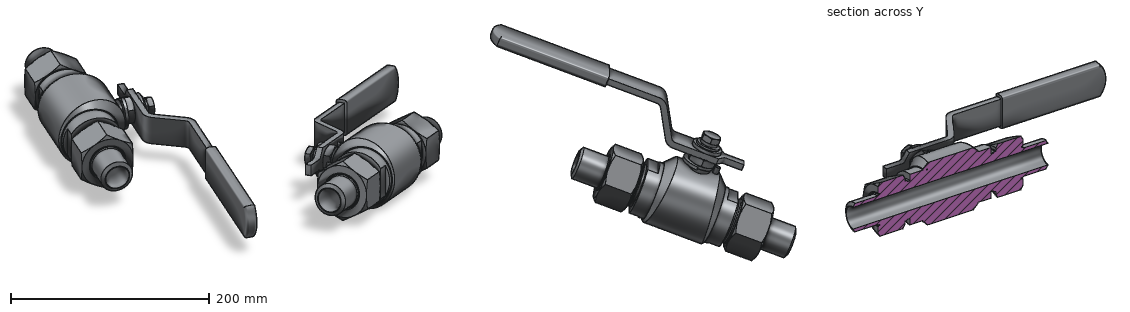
import cadquery as cq
import math

OVERALL_LENGTH = 365.0
OVERALL_DEPTH = 137.0
VALVE_LENGTH = 234.5
BORE_DIA = 25.0
END_X = VALVE_LENGTH / 2
HEX_CORNER_RATIO = 2 / math.sqrt(3)
CHAMFER_SLOPE = math.tan(math.radians(30))

BODY_DIA = 74.0
BODY_OFFSET = 4.5
BODY_HALF_LENGTH = 33.2
CONE_START_RADIUS = 31.0

COLLAR_DIA = 60.0
COLLAR_FACE_X = 49.0
FLAT_LENGTH = 11.5
FLAT_HALF_WIDTH = 25.2
NECK_DIA = 45.0
THREAD_DIA = 48.0
THREAD_END_X = 51.5

NUT_FLATS = 54.8
NUT_INNER_X = 54.5
NUT_OUTER_X = 87.3
NUT_HOLE_DIA = 37.0
NUT_HOLE_DEPTH = 2.2
NUT_HOLE_MOUTH_DIA = 39.0
TAIL_DIA = 34.0
TAIL_TIP_DIA = 26.3
TAIL_SHOULDER_DIA = 36.0
TAIL_SHOULDER_X = 88.0

STEM_ROOT_Y = 29.2
STEM_BASE_DIA = 25.0
STOP_BOTTOM_Y = 43.8
STOP_TOP_Y = 47.0
STOP_HUB_DIA = 27.0
STOP_SECTOR_DIA = 37.0
STOP_SECTOR_X = 3.0
STOP_PIN_DIA = 6.0
STOP_PIN_X = -18.0
STOP_PIN_TOP_Y = 48.5
STEM_NUT_FLATS = 26.5
HANDLE_BOTTOM_Y = 56.0
HANDLE_THICKNESS = 6.5
HANDLE_TOP_Y = HANDLE_BOTTOM_Y + HANDLE_THICKNESS
WASHER_DIA = 31.0
WASHER_TOP_Y = 66.0
SPRING_WASHER_DIA = 25.0
SPRING_WASHER_TOP_Y = 68.3
BOLT_FLATS = 18.0
BOLT_HEX_Y = 71.5
BOLT_TOP_Y = 78.0

HANDLE_WIDTH = 31.5
CRANK_ANGLE = math.radians(60)
CRANK_INNER_X = 37.2
GRIP_TOP_Y = OVERALL_DEPTH + BODY_OFFSET - BODY_DIA / 2
GRIP_THICKNESS = 12.0
GRIP_MID_Y = GRIP_TOP_Y - GRIP_THICKNESS / 2
BEND_INNER_RADIUS = 6.2
TAB_TIP_X = -41.0
TAB_WIDTH = 11.5
TAB_ROOT_X = -19.7
TAB_ROOT_RADIUS = 3.5
SHOULDER_X = -13.0

GRIP_START_X = 122.3
GRIP_TIP_X = OVERALL_LENGTH - END_X
GRIP_WIDTH = 38.0
GRIP_CROWN = 7.5
GRIP_ROUND = 3.3


def x_cylinder(diameter, x_start, x_end):
    return cq.Workplane("YZ").workplane(offset=x_start).circle(diameter / 2).extrude(x_end - x_start)


def y_plane(y):
    """Sketch plane facing -Y, with local x along X and local y along Z; negative extrusions rise."""
    return cq.Workplane("XZ", origin=(0, y, 0))


def y_cylinder(diameter, y_bottom, y_top):
    return y_plane(y_bottom).circle(diameter / 2).extrude(y_bottom - y_top)


def revolve_x(points):
    """Turn an (x, radius) outline about the X axis."""
    return cq.Workplane("XY").polyline(points).close().revolve(360, (0, 0), (1, 0))


def chamfered_blank(flats, start, end):
    """(axial, radius) outline that trims the corners of a hexagon at both ends."""
    corner = flats / 2 * HEX_CORNER_RATIO
    drop = (corner - flats / 2) * CHAMFER_SLOPE
    return [(start, 0), (start, flats / 2), (start + drop, corner),
            (end - drop, corner), (end, flats / 2), (end, 0)]


def make_body():
    crest_radius = BODY_DIA / 2 + BODY_OFFSET
    crest_x = BODY_HALF_LENGTH - (crest_radius - CONE_START_RADIUS)
    trim = revolve_x([
        (-BODY_HALF_LENGTH, 0), (-BODY_HALF_LENGTH, CONE_START_RADIUS), (-crest_x, crest_radius),
        (crest_x, crest_radius), (BODY_HALF_LENGTH, CONE_START_RADIUS), (BODY_HALF_LENGTH, 0)])
    drum = x_cylinder(BODY_DIA, -BODY_HALF_LENGTH, BODY_HALF_LENGTH).translate((0, BODY_OFFSET, 0))
    return drum.intersect(trim)


def make_collar():
    collar = x_cylinder(COLLAR_DIA, 0, COLLAR_FACE_X)
    flat_mid_x = COLLAR_FACE_X - FLAT_LENGTH / 2
    flat_depth = COLLAR_DIA / 2 - FLAT_HALF_WIDTH
    for side in (-1, 1):
        flat = cq.Workplane("XY").box(FLAT_LENGTH, flat_depth, COLLAR_DIA)
        collar = collar.cut(flat.translate((flat_mid_x, side * (FLAT_HALF_WIDTH + flat_depth / 2), 0)))
    return collar


def make_union_nut():
    length = NUT_OUTER_X - NUT_INNER_X
    hexagon = (cq.Workplane("YZ").workplane(offset=NUT_INNER_X)
               .polygon(6, NUT_FLATS * HEX_CORNER_RATIO).extrude(length)
               .rotate((0, 0, 0), (1, 0, 0), 30))
    nut = hexagon.intersect(revolve_x(chamfered_blank(NUT_FLATS, NUT_INNER_X, NUT_OUTER_X)))
    mouth_depth = (NUT_HOLE_MOUTH_DIA - NUT_HOLE_DIA) / 2
    floor_x = NUT_OUTER_X - NUT_HOLE_DEPTH
    hole = revolve_x([
        (floor_x, 0), (floor_x, NUT_HOLE_DIA / 2), (NUT_OUTER_X - mouth_depth, NUT_HOLE_DIA / 2),
        (NUT_OUTER_X, NUT_HOLE_MOUTH_DIA / 2), (NUT_OUTER_X, 0)])
    return nut.cut(hole)


def make_thread_and_tail():
    shoulder_base_x = TAIL_SHOULDER_X - (TAIL_SHOULDER_DIA - TAIL_DIA) / 2
    runout = (THREAD_DIA - NECK_DIA) / 2
    bevel_x = END_X - (TAIL_DIA - TAIL_TIP_DIA) / 2 * CHAMFER_SLOPE
    return revolve_x([
        (0, 0), (0, NECK_DIA / 2), (THREAD_END_X, NECK_DIA / 2),
        (THREAD_END_X + runout, THREAD_DIA / 2), (NUT_INNER_X, THREAD_DIA / 2),
        (NUT_INNER_X, TAIL_SHOULDER_DIA / 2), (shoulder_base_x, TAIL_SHOULDER_DIA / 2),
        (TAIL_SHOULDER_X, TAIL_DIA / 2), (bevel_x, TAIL_DIA / 2), (END_X, TAIL_TIP_DIA / 2), (END_X, 0)])


def make_end():
    """Everything on the +X side of the body."""
    return make_collar().union(make_thread_and_tail()).union(make_union_nut())


def y_hexagon(flats, y_bottom, y_top):
    """Hexagon along Y with corners on +Z and -Z and trimmed at both ends."""
    prism = (y_plane(y_bottom).polygon(6, flats * HEX_CORNER_RATIO).extrude(y_bottom - y_top)
             .rotate((0, 0, 0), (0, 1, 0), 30))
    outline = [(radius, y) for y, radius in chamfered_blank(flats, y_bottom, y_top)]
    trim = cq.Workplane("XY").polyline(outline).close().revolve(360, (0, 0), (0, 1))
    return prism.intersect(trim)


def make_stop_washer():
    sector = y_cylinder(STOP_SECTOR_DIA, STOP_BOTTOM_Y, STOP_TOP_Y)
    keep = cq.Workplane("XY").box(STOP_SECTOR_DIA, BOLT_TOP_Y, STOP_SECTOR_DIA)
    keep = keep.translate((STOP_SECTOR_X + STOP_SECTOR_DIA / 2, STOP_BOTTOM_Y, 0))
    return sector.intersect(keep).union(y_cylinder(STOP_HUB_DIA, STOP_BOTTOM_Y, STOP_TOP_Y))


def make_stem():
    stem = y_cylinder(STEM_BASE_DIA, STEM_ROOT_Y, STOP_BOTTOM_Y)
    stem = stem.union(make_stop_washer())
    stem = stem.union(y_hexagon(STEM_NUT_FLATS, STOP_TOP_Y, HANDLE_BOTTOM_Y))
    stem = stem.union(y_cylinder(WASHER_DIA, HANDLE_TOP_Y, WASHER_TOP_Y))
    stem = stem.union(y_cylinder(SPRING_WASHER_DIA, WASHER_TOP_Y, SPRING_WASHER_TOP_Y))
    stem = stem.union(y_cylinder(BOLT_FLATS, SPRING_WASHER_TOP_Y, BOLT_HEX_Y))
    return stem.union(y_hexagon(BOLT_FLATS, BOLT_HEX_Y, BOLT_TOP_Y))


def make_stop_pin():
    return y_cylinder(STOP_PIN_DIA, STEM_ROOT_Y, STOP_PIN_TOP_Y).translate((STOP_PIN_X, 0, 0))


def make_strip():
    """Cranked strip, all of one thickness."""
    upper_bottom_y = GRIP_MID_Y - HANDLE_THICKNESS / 2
    upper_top_y = upper_bottom_y + HANDLE_THICKNESS
    crank_run = (upper_top_y - HANDLE_TOP_Y) / math.tan(CRANK_ANGLE)
    miter = HANDLE_THICKNESS * math.tan(CRANK_ANGLE / 2)
    low_inner = (CRANK_INNER_X, HANDLE_TOP_Y)
    low_outer = (CRANK_INNER_X + miter, HANDLE_BOTTOM_Y)
    high_outer = (CRANK_INNER_X + crank_run, upper_top_y)
    high_inner = (CRANK_INNER_X + crank_run + miter, upper_bottom_y)
    strip_end_x = GRIP_TIP_X - GRIP_CROWN - GRIP_ROUND
    strip = (cq.Workplane("XY").workplane(offset=-HANDLE_WIDTH / 2)
             .polyline([(TAB_TIP_X, HANDLE_BOTTOM_Y), low_outer, high_inner,
                        (strip_end_x, upper_bottom_y), (strip_end_x, upper_top_y),
                        high_outer, low_inner, (TAB_TIP_X, HANDLE_TOP_Y)])
             .close().extrude(HANDLE_WIDTH))
    bends = ((BEND_INNER_RADIUS, (low_inner, high_inner)),
             (BEND_INNER_RADIUS + HANDLE_THICKNESS, (low_outer, high_outer)))
    for radius, corners in bends:
        for x, y in corners:
            strip = strip.edges(cq.selectors.NearestToPointSelector((x, y, 0))).fillet(radius)
    return strip


def shape_tab(strip):
    """Narrow the stop end of the strip to a tab with sloping shoulders."""
    shoulder_z = HANDLE_WIDTH / 2
    root_z = TAB_WIDTH / 2
    handle_mid_y = HANDLE_BOTTOM_Y + HANDLE_THICKNESS / 2
    for side in (-1, 1):
        waste = (y_plane(HANDLE_BOTTOM_Y)
                 .polyline([(TAB_TIP_X, side * root_z), (TAB_ROOT_X, side * root_z),
                            (SHOULDER_X, side * shoulder_z), (TAB_TIP_X, side * shoulder_z)])
                 .close().extrude(-HANDLE_THICKNESS))
        root = cq.selectors.NearestToPointSelector((TAB_ROOT_X, handle_mid_y, side * root_z))
        strip = strip.cut(waste.edges(root).fillet(TAB_ROOT_RADIUS))
    return strip


def make_grip():
    corner_x = GRIP_TIP_X - GRIP_CROWN
    half_width = GRIP_WIDTH / 2
    grip = (y_plane(GRIP_TOP_Y).moveTo(GRIP_START_X, -half_width).lineTo(corner_x, -half_width)
            .threePointArc((GRIP_TIP_X, 0), (corner_x, half_width))
            .lineTo(GRIP_START_X, half_width).close().extrude(GRIP_THICKNESS))
    return grip.faces(">Y or <Y").edges("not <X").fillet(GRIP_ROUND)


def make_handle():
    return shape_tab(make_strip()).union(make_grip())


end = make_end()
valve = make_body().union(end).union(end.mirror("YZ"))
valve = valve.union(make_stem()).union(make_stop_pin()).union(make_handle())
result = valve.cut(x_cylinder(BORE_DIA, -END_X, END_X))